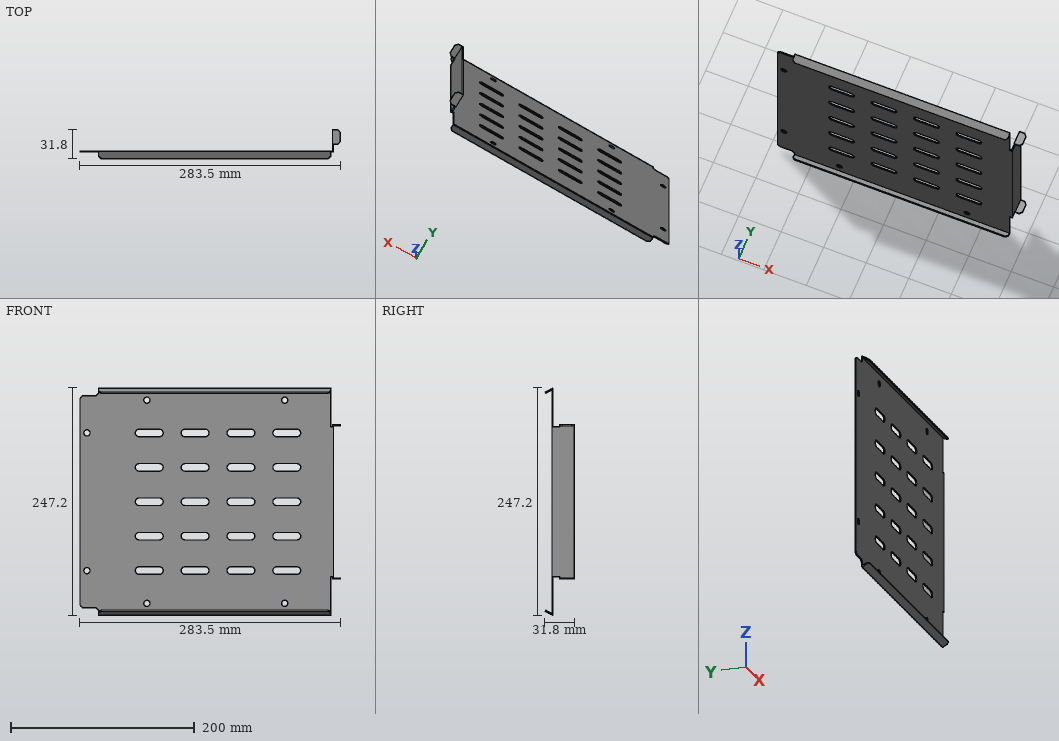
import cadquery as cq
import math

total_length = 283.5
total_height = 247.2
total_depth = 31.8
thickness = 1.5

left_end_half_height = 115.5
left_corner_chamfer = 2.8
panel_right = 273.0
step_chamfer = 2.8

lip_left = 20.0
lip_drop_angle = 28
lip_corner_chamfer = 2.8

flange_right = 276.0
flange_depth = 23.0
flange_half_height = 81.6
tab_half_height = 84.2
tab_width = 16.0
tab_chamfer = 2.8

slot_columns = 4
slot_rows = 5
slot_pitch_x = 50.0
slot_pitch_z = 37.5
slot_length = 30.0
slot_width = 8.0
first_slot_x = 75.5

hole_diameter = 6.5
hole_spacing = 150.0
edge_hole_x = 73.0
edge_hole_z = 110.5
end_hole_x = 7.7

flange_back = thickness + flange_depth
flange_left = flange_right - thickness
lip_slope = math.radians(lip_drop_angle)
hinge_z = total_height / 2 - thickness * math.cos(lip_slope)
lip_reach = total_depth - flange_depth - thickness * math.sin(lip_slope)
lip_length = lip_reach / math.cos(lip_slope)


def make_panel():
    """Flat sheet, up to the lip hinges, stepped down at its left end."""
    step_x = lip_left - step_chamfer
    step_top = left_end_half_height + step_chamfer
    upper_edge = [
        (0, left_end_half_height - left_corner_chamfer),
        (left_corner_chamfer, left_end_half_height),
        (step_x, left_end_half_height),
        (lip_left, step_top),
        (lip_left, hinge_z),
        (panel_right, hinge_z),
        (panel_right, flange_half_height),
        (flange_right, flange_half_height),
    ]
    lower_edge = [(x, -z) for x, z in reversed(upper_edge)]
    outline = cq.Workplane("XZ").polyline(upper_edge + lower_edge).close()
    return outline.extrude(-thickness)


def make_top_lip():
    """Flat lip hinged on the panel's rear top edge, sloping down and forward to its free edge."""
    lip = (
        cq.Workplane("XY", origin=(lip_left, -lip_length, 0))
        .rect(panel_right - lip_left, lip_length, centered=False)
        .extrude(thickness)
        .edges("|Z and <Y")
        .chamfer(lip_corner_chamfer)
    )
    tilted = lip.rotate((0, 0, 0), (1, 0, 0), lip_drop_angle)
    return tilted.translate((0, thickness, hinge_z))


def make_flange():
    """Upright web at the right end, wider where it carries the tabs."""
    tab_front = flange_back - tab_width
    upper_edge = [
        (0, flange_half_height),
        (tab_front, flange_half_height),
        (tab_front, tab_half_height),
        (flange_back, tab_half_height),
    ]
    lower_edge = [(y, -z) for y, z in reversed(upper_edge)]
    web = (
        cq.Workplane("YZ", origin=(flange_left, 0, 0))
        .polyline(upper_edge + lower_edge)
        .close()
        .extrude(thickness)
    )
    top_tab = (
        cq.Workplane("XY", origin=(flange_left, tab_front, tab_half_height - thickness))
        .rect(total_length - flange_left, tab_width, centered=False)
        .extrude(thickness)
        .edges("|Z and >X")
        .chamfer(tab_chamfer)
    )
    return web.union(top_tab).union(top_tab.mirror("XY"))


def make_slots():
    """Grid of round-ended slots, level and centred on the panel's height."""
    slots = [
        (first_slot_x + column * slot_pitch_x, (row - (slot_rows - 1) / 2) * slot_pitch_z)
        for column in range(slot_columns)
        for row in range(slot_rows)
    ]
    return cq.Workplane("XZ").pushPoints(slots).slot2D(slot_length, slot_width).extrude(-thickness)


def make_holes():
    """Two holes along each lip and two at the left end."""
    holes = []
    for side in (-1, 1):
        holes.append((edge_hole_x, side * edge_hole_z))
        holes.append((edge_hole_x + hole_spacing, side * edge_hole_z))
        holes.append((end_hole_x, side * hole_spacing / 2))
    return cq.Workplane("XZ").pushPoints(holes).circle(hole_diameter / 2).extrude(-thickness)


top_lip = make_top_lip()
body = make_panel().union(top_lip).union(top_lip.mirror("XY")).union(make_flange())
result = body.cut(make_slots()).cut(make_holes())